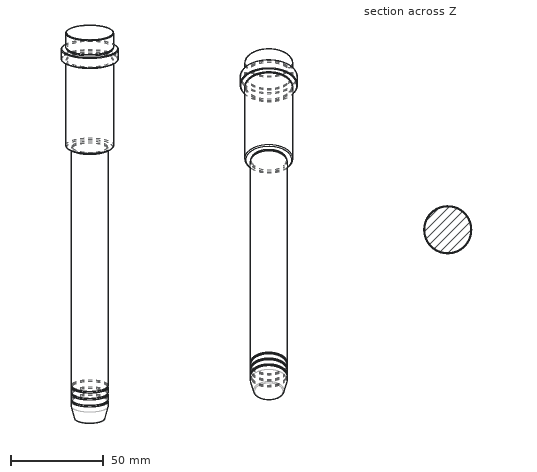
import cadquery as cq

total_height = 220.0
sleeve_bottom = 154.9
flange_bottom = 204.5
flange_thickness = 6.2

pin_diameter = 20.0
sleeve_diameter = 26.0
flange_diameter = 31.0
tip_diameter = 16.3

head_chamfer = 0.5
sleeve_chamfer = 0.7
flange_chamfer = 0.5
tip_fillet = 0.7

taper_height = 7.3

groove_depth = 0.5
flange_relief_width = 0.9
pin_relief_width = 1.0
tip_groove_count = 3
tip_groove_width = 0.9
tip_groove_pitch = 4.0
first_tip_groove_bottom = 10.1


def cylinder(diameter, bottom, top):
    """Solid cylinder on the Z axis between two heights."""
    return cq.Workplane("XY").workplane(offset=bottom).circle(diameter / 2).extrude(top - bottom)


def groove(surface_diameter, bottom, width):
    """Ring-shaped cutter for a groove in a cylinder of the given diameter."""
    outer = cylinder(surface_diameter + 2 * groove_depth, bottom, bottom + width)
    core = cylinder(surface_diameter - 2 * groove_depth, bottom, bottom + width)
    return outer.cut(core)


def tapered_tip():
    """Cone that leads into the pin, rounded at its lower edge."""
    cone = (
        cq.Workplane("XY")
        .circle(tip_diameter / 2)
        .workplane(offset=taper_height)
        .circle(pin_diameter / 2)
        .loft(ruled=True)
    )
    return cone.faces("<Z").edges().fillet(tip_fillet)


def grooved_pin():
    """Long pin with grooves near the tip and a relief under the sleeve shoulder."""
    pin = cylinder(pin_diameter, taper_height, sleeve_bottom)
    for index in range(tip_groove_count):
        groove_bottom = first_tip_groove_bottom + index * tip_groove_pitch
        pin = pin.cut(groove(pin_diameter, groove_bottom, tip_groove_width))
    return pin.cut(groove(pin_diameter, sleeve_bottom - pin_relief_width, pin_relief_width))


def relieved_sleeve():
    """Thick upper body with chamfered ends and a relief on each side of the flange."""
    sleeve = cylinder(sleeve_diameter, sleeve_bottom, total_height)
    sleeve = sleeve.faces("<Z").chamfer(sleeve_chamfer)
    sleeve = sleeve.faces(">Z").chamfer(head_chamfer)
    for relief_bottom in (flange_bottom - flange_relief_width, flange_bottom + flange_thickness):
        sleeve = sleeve.cut(groove(sleeve_diameter, relief_bottom, flange_relief_width))
    return sleeve


def flange():
    """Locating collar with both rims chamfered."""
    collar = cylinder(flange_diameter, flange_bottom, flange_bottom + flange_thickness)
    return collar.faces("|Z").chamfer(flange_chamfer)


result = tapered_tip().union(grooved_pin()).union(relieved_sleeve()).union(flange())